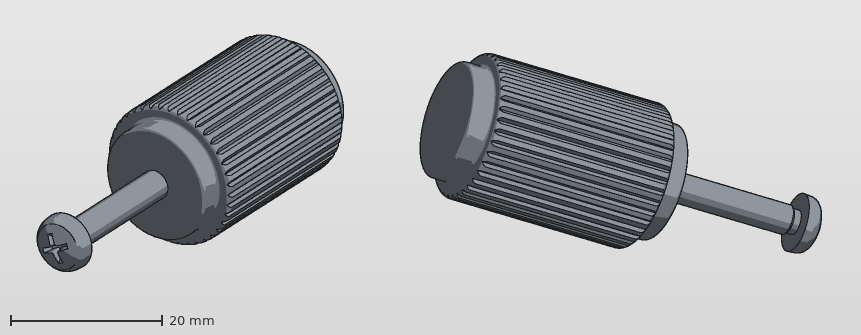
import cadquery as cq
import math


knob_length = 32.0
collar_radius = 8.0
collar_length = 3.0
collar_rim_fillet = 0.5
collar_root_fillet = 0.5
grip_radius = 10.0
grip_end_fillet = 0.75

groove_count = 40
groove_depth = 0.42
groove_half_angle = 45.0

shank_radius = 2.05
neck_radius = 1.7
neck_length = 1.0
head_seat = 20.0
head_radius = 4.0
head_height = 3.11
head_draft = 5.0
head_side_height = 1.8
head_edge_fillet = 1.3

recess_tip_radius = 2.45
recess_floor_radius = 1.3
recess_wall_depth = 1.3
recess_depth = 1.6
recess_slot_width = 0.8
recess_slot_draft = 7.0
recess_corner_fillet = 0.3
recess_angle = 25.0


def round_circles(body, circle_radius, places, fillet_radius):
    """Fillet the circular edges of one radius that lie at the given places along Y."""
    edges = [
        edge
        for edge in body.edges("%CIRCLE").vals()
        if math.isclose(edge.radius(), circle_radius)
        and any(math.isclose(edge.Center().y, place, abs_tol=1e-6) for place in places)
    ]
    return body.newObject(edges).fillet(fillet_radius)


def make_knob_blank():
    """Turned knob: a thick grip between two collars, with every edge rounded."""
    grip_start = collar_length
    grip_end = knob_length - collar_length
    profile = (
        cq.Workplane("XY")
        .moveTo(0, 0)
        .lineTo(collar_radius, 0)
        .lineTo(collar_radius, grip_start)
        .lineTo(grip_radius, grip_start)
        .lineTo(grip_radius, grip_end)
        .lineTo(collar_radius, grip_end)
        .lineTo(collar_radius, knob_length)
        .lineTo(0, knob_length)
        .close()
    )
    blank = profile.revolve(360, (0, 0, 0), (0, 1, 0))
    blank = round_circles(blank, grip_radius, (grip_start, grip_end), grip_end_fillet)
    blank = round_circles(blank, collar_radius, (grip_start, grip_end), collar_root_fillet)
    return round_circles(blank, collar_radius, (0, knob_length), collar_rim_fillet)


def make_knurl_grooves():
    """V-shaped cutters around the grip, the first one at the top."""
    bottom = grip_radius - groove_depth
    overshoot = 0.5
    mouth = grip_radius + overshoot
    half_width = (mouth - bottom) * math.tan(math.radians(groove_half_angle))
    cutter = (
        cq.Workplane("XZ", origin=(0, knob_length, 0))
        .polyline([(0, bottom), (half_width, mouth), (-half_width, mouth)])
        .close()
        .extrude(knob_length)
        .val()
    )
    step = 360.0 / groove_count
    return [cutter.rotate((0, 0, 0), (0, 1, 0), i * step) for i in range(groove_count)]


def make_knob():
    return make_knob_blank().cut(cq.Compound.makeCompound(make_knurl_grooves()))


def make_screw_blank():
    """Shank with a chamfered step down to the neck, and a domed head."""
    neck_start = head_seat - neck_length
    chamfer = shank_radius - neck_radius
    shank = (
        cq.Workplane("XY")
        .moveTo(0, 0)
        .lineTo(shank_radius, 0)
        .lineTo(shank_radius, -(neck_start - chamfer))
        .lineTo(neck_radius, -neck_start)
        .lineTo(neck_radius, -head_seat)
        .lineTo(0, -head_seat)
        .close()
        .revolve(360, (0, 0, 0), (0, 1, 0))
    )

    side_end_radius = head_radius - head_side_height * math.tan(math.radians(head_draft))
    side_end = -(head_seat + head_side_height)
    apex = -(head_seat + head_height)
    dome_rise = head_height - head_side_height
    dome_radius = (side_end_radius**2 + dome_rise**2) / (2 * dome_rise)
    mid_radius = side_end_radius / 2
    mid_place = apex + dome_radius - math.sqrt(dome_radius**2 - mid_radius**2)
    head = (
        cq.Workplane("XY")
        .moveTo(0, -head_seat)
        .lineTo(head_radius, -head_seat)
        .lineTo(side_end_radius, side_end)
        .threePointArc((mid_radius, mid_place), (0, apex))
        .close()
        .revolve(360, (0, 0, 0), (0, 1, 0))
    )
    head = round_circles(head, side_end_radius, (side_end,), head_edge_fillet)
    return shank.union(head)


def make_cross_recess():
    """Two crossed slots with drafted walls and rounded inner corners, inside a tapered socket."""
    apex = -(head_seat + head_height)
    socket = (
        cq.Workplane("XY")
        .moveTo(0, apex)
        .lineTo(recess_tip_radius, apex)
        .lineTo(recess_floor_radius, apex + recess_wall_depth)
        .lineTo(0, apex + recess_depth)
        .close()
        .revolve(360, (0, 0, 0), (0, 1, 0))
    )
    slot_length = 3 * recess_tip_radius
    mouth = cq.Workplane(cq.Plane(origin=(0, apex, 0), xDir=(1, 0, 0), normal=(0, 1, 0)))
    slot = mouth.rect(slot_length, recess_slot_width).extrude(recess_depth, taper=recess_slot_draft)
    cross = slot.union(slot.rotate((0, 0, 0), (0, 1, 0), 90))
    middle = cq.selectors.BoxSelector(
        (-recess_slot_width, apex + recess_depth / 4, -recess_slot_width),
        (recess_slot_width, apex + recess_depth * 3 / 4, recess_slot_width),
    )
    cross = cross.edges(middle).fillet(recess_corner_fillet)
    return cross.intersect(socket).rotate((0, 0, 0), (0, 1, 0), -recess_angle)


def make_screw():
    return make_screw_blank().cut(make_cross_recess())


knob = make_knob()
screw = make_screw()

result = cq.Compound.makeCompound([knob.val(), screw.val()])